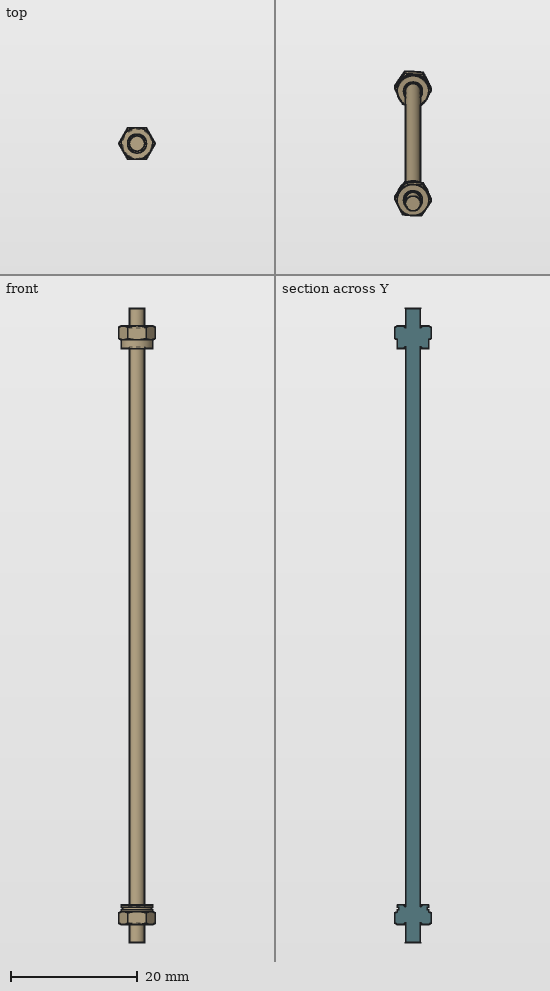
import cadquery as cq
import math

rod_length = 100.0
rod_diameter = 2.4
top_projection = 2.75
bottom_projection = 2.85

across_flats = 5.0
collar_diameter = across_flats
countersink_diameter = 3.0
hexagon_half_angle = 30.0
corner_bevel_angle = 30.0

top_hex_height = 2.2
top_collar_height = 1.4
bottom_hex_height = 2.05
bottom_collar_height = 1.1

rim_chamfer = 0.1
groove_offset = 0.3
groove_width = 0.35
groove_diameter = 4.6


def revolve_about_z(points):
    """Solid of revolution from (radius, height) points."""
    return cq.Workplane("XZ").polyline(points).close().revolve(360, (0, 0), (0, 1))


def make_rod():
    return cq.Workplane("XY").circle(rod_diameter / 2).extrude(rod_length)


def make_hexagon(height):
    """Hexagon with corners along X, its corners bevelled at both end faces."""
    corner_diameter = across_flats / math.cos(math.radians(hexagon_half_angle))
    prism = cq.Workplane("XY").polygon(6, corner_diameter).extrude(height)
    flat_radius = across_flats / 2
    widest_radius = flat_radius + height / 2 / math.tan(math.radians(corner_bevel_angle))
    double_cone = revolve_about_z([
        (0, 0),
        (flat_radius, 0),
        (widest_radius, height / 2),
        (flat_radius, height),
        (0, height),
    ])
    return prism.intersect(double_cone)


def make_countersink(face_height, inward):
    """Cone that opens the bore at an end face; inward is the Z direction into the nut."""
    depth = (countersink_diameter - rod_diameter) / 2
    floor_height = face_height + inward * depth
    return revolve_about_z([
        (0, face_height),
        (countersink_diameter / 2, face_height),
        (rod_diameter / 2, floor_height),
        (0, floor_height),
    ])


def make_plain_collar(height):
    return cq.Workplane("XY").circle(collar_diameter / 2).extrude(height)


def make_grooved_collar(height):
    """Collar with a chamfered rim and a shallow groove around its side."""
    collar = make_plain_collar(height).faces(">Z").chamfer(rim_chamfer)
    groove = (
        cq.Workplane("XY")
        .workplane(offset=groove_offset)
        .circle(collar_diameter)
        .circle(groove_diameter / 2)
        .extrude(groove_width)
    )
    return collar.cut(groove)


def make_nut(hex_height, collar, collar_height):
    """Nut standing on its hexagon, with a round collar on top."""
    nut_height = hex_height + collar_height
    nut = make_hexagon(hex_height).union(collar.translate((0, 0, hex_height)))
    nut = nut.cut(make_countersink(0, 1))
    return nut.cut(make_countersink(nut_height, -1))


bottom_collar = make_grooved_collar(bottom_collar_height)
bottom_nut = make_nut(bottom_hex_height, bottom_collar, bottom_collar_height)
bottom_nut = bottom_nut.translate((0, 0, bottom_projection))

top_collar = make_plain_collar(top_collar_height)
top_nut = make_nut(top_hex_height, top_collar, top_collar_height)
top_nut = top_nut.rotate((0, 0, 0), (1, 0, 0), 180)
top_nut = top_nut.translate((0, 0, rod_length - top_projection))

result = make_rod().union(bottom_nut).union(top_nut)